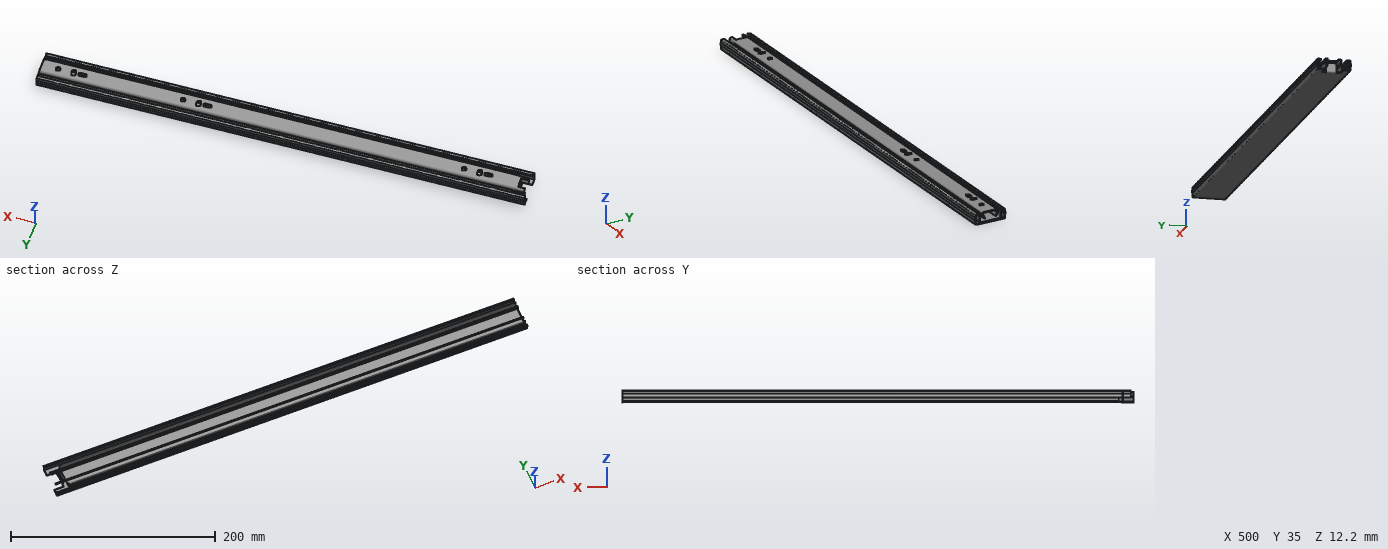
import cadquery as cq
import math

slide_length = 500.0
overall_width = 35.0
overall_height = 12.2
rail_sheet = 1.2

outer_height = 10.8
outer_corner_radius = rail_sheet
groove_depth = 0.7
groove_radius = 2.0
groove_height = 6.1
outer_half_width = overall_width / 2 - groove_depth
outer_lip_edge = 13.0

notch_end = 10.0
outer_notch_half_width = 9.3
inner_notch_half_width = 5.5

tab_half_width = 5.3
tab_top = 9.8
tab_bend_radius = 1.5

cage_sheet = 0.8
cage_start = 14.5
cage_half_width = 12.2
cage_height = 10.7
cage_top_radius = 1.2
cage_bottom_radius = 1.9
cage_lip_edge = 10.0

inner_start = 2.8
inner_half_width = 8.8
shoulder_radius = 2.3
knee_height = 8.0
foot_height = 4.6
foot_half_width = 6.4

long_slot_places = (42.0, 330.0, 458.0)
cross_slot_offset = 9.0
round_hole_offset = 25.0
long_slot_length = 8.5
long_slot_width = 3.8
cross_slot_length = 7.0
cross_slot_width = 4.6
round_hole_diameter = 4.6


def profile_plane(start, y=0.0, z=0.0):
    """YZ workplane at the given X, centred on (y, z)."""
    return cq.Workplane("YZ", origin=(start, y, z))


def box_between(x_range, half_width, z_range):
    """Box symmetric about Y = 0 that spans the given X and Z ranges."""
    length = x_range[1] - x_range[0]
    height = z_range[1] - z_range[0]
    corner = cq.Workplane("XY", origin=(x_range[0], 0, z_range[0]))
    return corner.box(length, 2 * half_width, height, centered=(False, True, False))


def make_channel(start, half_width, bottom, top, top_radius, bottom_radius, lip_edge, sheet):
    """Channel open upwards with rounded corners and lips turned inwards."""
    length = slide_length - start
    height = top - bottom
    plane = profile_plane(start, 0, (bottom + top) / 2)
    outside = plane.rect(2 * half_width, height).extrude(length)
    outside = outside.edges("|X and >Z").fillet(top_radius)
    outside = outside.edges("|X and <Z").fillet(bottom_radius)
    inside = plane.rect(2 * (half_width - sheet), height - 2 * sheet).extrude(length)
    if top_radius > sheet:
        inside = inside.edges("|X and >Z").fillet(top_radius - sheet)
    if bottom_radius > sheet:
        inside = inside.edges("|X and <Z").fillet(bottom_radius - sheet)
    opening = profile_plane(start, 0, top).rect(2 * lip_edge, height).extrude(length)
    return outside.cut(inside).cut(opening)


def make_stop_tab():
    """Upright strip joined to the outer web by a rounded bend."""
    inner_radius = tab_bend_radius - rail_sheet
    bend_end = notch_end + tab_bend_radius
    return (
        cq.Workplane("XZ", origin=(0, tab_half_width, 0))
        .moveTo(notch_end, tab_top)
        .lineTo(notch_end, tab_bend_radius)
        .radiusArc((bend_end, 0), -tab_bend_radius)
        .lineTo(bend_end, rail_sheet)
        .radiusArc((notch_end + rail_sheet, tab_bend_radius), inner_radius)
        .lineTo(notch_end + rail_sheet, tab_top)
        .close()
        .extrude(2 * tab_half_width)
    )


def make_outer_rail():
    rail = make_channel(0, outer_half_width, 0, outer_height, outer_corner_radius,
                        outer_corner_radius, outer_lip_edge, rail_sheet)
    for side in (-1, 1):
        axis = profile_plane(0, side * (overall_width / 2 - groove_radius), groove_height)
        wall_face = profile_plane(0, side * outer_half_width, groove_height)
        wall_strip = wall_face.rect(2 * groove_depth, 2 * groove_radius).extrude(slide_length)
        bulge = axis.circle(groove_radius).extrude(slide_length).intersect(wall_strip)
        hollow = axis.circle(groove_radius - rail_sheet).extrude(slide_length)
        rail = rail.union(bulge).cut(hollow)
    notch = box_between((0, notch_end), outer_notch_half_width, (0, rail_sheet))
    bend_zone = box_between((notch_end, notch_end + tab_bend_radius), tab_half_width, (0, rail_sheet))
    return rail.cut(notch).cut(bend_zone).union(make_stop_tab())


def make_cage():
    return make_channel(cage_start, cage_half_width, rail_sheet, cage_height, cage_top_radius,
                        cage_bottom_radius, cage_lip_edge, cage_sheet)


def cut_mounting_holes(rail):
    for long_slot_x in long_slot_places:
        plane = cq.Workplane("XY", origin=(long_slot_x, 0, overall_height - rail_sheet))
        rail = rail.cut(plane.slot2D(long_slot_length, long_slot_width).extrude(rail_sheet))
        cross_plane = plane.center(cross_slot_offset, 0)
        rail = rail.cut(cross_plane.slot2D(cross_slot_length, cross_slot_width, 90).extrude(rail_sheet))
        round_plane = plane.center(round_hole_offset, 0)
        rail = rail.cut(round_plane.circle(round_hole_diameter / 2).extrude(rail_sheet))
    return rail


def make_inner_rail():
    web_bottom = overall_height - rail_sheet
    web_half_width = inner_half_width - shoulder_radius
    shoulder_bottom = overall_height - shoulder_radius
    inside_radius = shoulder_radius - rail_sheet
    inside_half_width = inner_half_width - rail_sheet
    lean = math.atan2(inner_half_width - foot_half_width, knee_height - foot_height)
    inside_knee_height = knee_height + rail_sheet * math.tan(lean / 2)
    inside_foot_half_width = foot_half_width - rail_sheet * math.cos(lean)
    inside_foot_height = foot_height + rail_sheet * math.sin(lean)
    rail = (
        profile_plane(inner_start)
        .moveTo(-foot_half_width, foot_height)
        .lineTo(-inner_half_width, knee_height)
        .lineTo(-inner_half_width, shoulder_bottom)
        .radiusArc((-web_half_width, overall_height), shoulder_radius)
        .lineTo(web_half_width, overall_height)
        .radiusArc((inner_half_width, shoulder_bottom), shoulder_radius)
        .lineTo(inner_half_width, knee_height)
        .lineTo(foot_half_width, foot_height)
        .lineTo(inside_foot_half_width, inside_foot_height)
        .lineTo(inside_half_width, inside_knee_height)
        .lineTo(inside_half_width, shoulder_bottom)
        .radiusArc((web_half_width, web_bottom), -inside_radius)
        .lineTo(-web_half_width, web_bottom)
        .radiusArc((-inside_half_width, shoulder_bottom), -inside_radius)
        .lineTo(-inside_half_width, inside_knee_height)
        .lineTo(-inside_foot_half_width, inside_foot_height)
        .close()
        .extrude(slide_length - inner_start)
    )
    notch = box_between((inner_start, notch_end), inner_notch_half_width, (web_bottom, overall_height))
    return cut_mounting_holes(rail.cut(notch))


outer_rail = make_outer_rail()
cage = make_cage()
inner_rail = make_inner_rail()

result = cq.Compound.makeCompound([outer_rail.val(), cage.val(), inner_rail.val()])